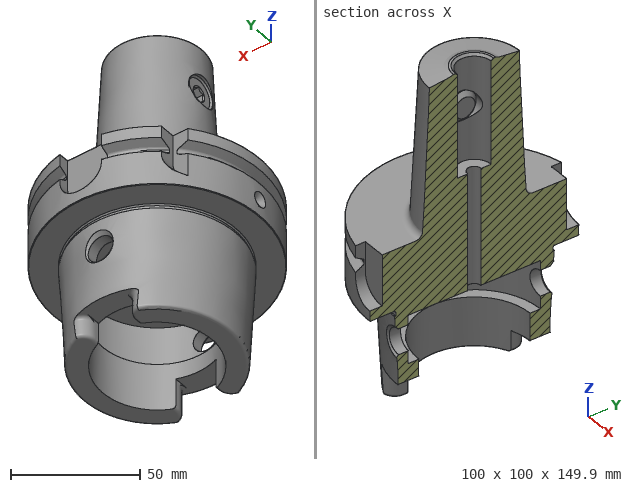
import cadquery as cq
import math


total_length = 149.9
nose_top = 100.0
shank_end = nose_top - total_length

flange_diameter = 100.0
flange_radius = flange_diameter / 2
flange_top = 29.1
flange_edge_chamfer = 0.3
groove_floor_radius = 46.0
groove_mid = 20.0
groove_mouth_half_width = 3.5
groove_wall_angle = 30.0
groove_corner_radius = 1.0

nose_base_radius = 24.9
nose_rim_radius = 21.6
nose_base = 31.8
nose_rim = 98.3
nose_fillet_span = 3.1
collar_foot_radius = 11.8
collar_foot = 99.4
collar_top_radius = 10.0

shank_neck_radius = 37.6
shank_neck_length = 2.2
shank_neck_chamfer = 0.6
shank_large_radius = 38.2
shank_small_radius = 35.8
shank_edge_radius = 1.5

tool_bore_radius = 8.0
tool_bore_depth = 49.5
tool_bore_chamfer = 1.0
coolant_radius = 3.1
shank_bore_radius = 26.5
shank_recess_radius = 31.5
shank_recess_bottom = -27.0
shank_bore_top = -4.5

key_floor = 44.0
key_bottom = 5.1
key_corner_radius = 10.0
wide_key_half_width = 11.0
corner_notch_edge = 31.5

dimple_radius = 3.6
dimple_height = 8.5
dimple_depth = 3.6
drill_point_angle = 118.0

cross_hole_radius = 6.0
cross_hole_height = -15.0
cross_hole_chamfer = 1.3

drive_half_width = 9.7
drive_flat_spacing = 65.2
drive_flat = drive_flat_spacing / 2
drive_top_front = -35.1
drive_top_back = -40.0
drive_lip_radius = 6.0
drive_root_radius = 1.6

screw_height = 76.7
screw_radius = 6.9
screw_mouth_radius = 7.6
screw_face = 20.2
screw_tip = 6.1
screw_tip_radius = 4.8
screw_tip_chamfer = 2.1
hex_across_flats = 6.0
hex_mouth_radius = 3.6
hex_depth = 3.7
hex_pilot_radius = 2.4

selection_margin = 0.1


def cylinder_along(origin, direction, radius, length):
    return cq.Workplane(obj=cq.Solid.makeCylinder(radius, length, origin, direction))


def cone_along(origin, direction, start_radius, end_radius, length):
    return cq.Workplane(obj=cq.Solid.makeCone(start_radius, end_radius, length, origin, direction))


def drill_tip_length(radius):
    return radius / math.tan(math.radians(drill_point_angle / 2))


def make_body():
    """Outer shape turned about Z."""
    groove_depth = flange_radius - groove_floor_radius
    floor_half_width = groove_mouth_half_width - groove_depth * math.tan(math.radians(groove_wall_angle))
    profile = (
        cq.Workplane("XZ")
        .moveTo(0, shank_end)
        .lineTo(shank_small_radius - shank_edge_radius, shank_end)
        .radiusArc((shank_small_radius, shank_end + shank_edge_radius), -shank_edge_radius)
        .lineTo(shank_large_radius, -shank_neck_length)
        .lineTo(shank_neck_radius, -shank_neck_length)
        .lineTo(shank_neck_radius, -shank_neck_chamfer)
        .lineTo(shank_neck_radius + shank_neck_chamfer, 0)
        .lineTo(flange_radius - flange_edge_chamfer, 0)
        .lineTo(flange_radius, flange_edge_chamfer)
        .lineTo(flange_radius, groove_mid - groove_mouth_half_width)
        .lineTo(groove_floor_radius, groove_mid - floor_half_width)
        .lineTo(groove_floor_radius, groove_mid + floor_half_width)
        .lineTo(flange_radius, groove_mid + groove_mouth_half_width)
        .lineTo(flange_radius, flange_top)
        .lineTo(nose_base_radius + nose_fillet_span, flange_top)
        .tangentArcPoint((nose_base_radius, nose_base), relative=False)
        .lineTo(nose_rim_radius, nose_rim)
        .lineTo(collar_foot_radius, collar_foot)
        .lineTo(collar_top_radius, nose_top)
        .lineTo(0, nose_top)
        .close()
    )
    body = profile.revolve(360, (0, 0, 0), (0, 1, 0))
    groove_edges = cq.selectors.BoxSelector(
        (-flange_radius, -flange_radius, groove_mid - floor_half_width - selection_margin),
        (flange_radius, flange_radius, groove_mid + floor_half_width + selection_margin),
    )
    return body.edges(groove_edges).fillet(groove_corner_radius)


def make_bores():
    """Tool bore from the nose, coolant passage and hollow of the shank with its wider upper part."""
    up = (0, 0, 1)
    down = (0, 0, -1)
    nose_center = (0, 0, nose_top)
    end_center = (0, 0, shank_end)
    recess_center = (0, 0, shank_recess_bottom)
    mouth_radius = tool_bore_radius + tool_bore_chamfer
    tool_bore = cylinder_along(nose_center, down, tool_bore_radius, tool_bore_depth)
    bore_mouth = cone_along(nose_center, down, mouth_radius, tool_bore_radius, tool_bore_chamfer)
    coolant = cylinder_along(end_center, up, coolant_radius, total_length)
    hollow = cylinder_along(end_center, up, shank_bore_radius, shank_bore_top - shank_end)
    recess = cylinder_along(recess_center, up, shank_recess_radius, shank_bore_top - shank_recess_bottom)
    return tool_bore.union(bore_mouth).union(coolant).union(hollow).union(recess)


def make_key_slot(center_x, half_width, start_y, direction):
    """Slot with a rounded bottom, open at the flange top and milled from start_y out along +Y or -Y."""
    flat_half_width = half_width - key_corner_radius
    shoulder = key_bottom + key_corner_radius
    slot = (
        cq.Workplane("XY", origin=(0, 0, shoulder))
        .rect(2 * half_width, flange_diameter)
        .extrude(flange_top - shoulder)
    )
    for side in (-1, 1):
        corner_axis = (side * flat_half_width, -flange_radius, shoulder)
        slot = slot.union(cylinder_along(corner_axis, (0, 1, 0), key_corner_radius, flange_diameter))
    if flat_half_width > 0:
        slot = slot.union(
            cq.Workplane("XY", origin=(0, 0, key_bottom))
            .rect(2 * flat_half_width, flange_diameter)
            .extrude(key_corner_radius)
        )
    return slot.translate((center_x, start_y + direction * flange_radius, 0))


def make_dimple():
    """Conical recess in the -X side of the flange."""
    mouth = (-flange_radius, 0, dimple_height)
    return cone_along(mouth, (1, 0, 0), dimple_radius, 0, dimple_depth)


def make_cross_hole():
    """Hole along Y through both walls of the shank, with a chamfered mouth on each side."""
    cone_slope = (shank_large_radius - shank_small_radius) / (-shank_neck_length - shank_end)
    surface_radius = shank_small_radius + cone_slope * (cross_hole_height - shank_end)
    mouth_start = surface_radius - cross_hole_chamfer
    mouth_length = 2 * cross_hole_chamfer
    mouth_end = mouth_start + mouth_length
    return (
        cq.Workplane("XY", origin=(0, 0, cross_hole_height))
        .moveTo(0, -mouth_end)
        .lineTo(cross_hole_radius + mouth_length, -mouth_end)
        .lineTo(cross_hole_radius, -mouth_start)
        .lineTo(cross_hole_radius, mouth_start)
        .lineTo(cross_hole_radius + mouth_length, mouth_end)
        .lineTo(0, mouth_end)
        .close()
        .revolve(360, (0, 0, 0), (0, 1, 0))
    )


lip_wall_end = (drive_half_width, drive_flat - drive_lip_radius)
lip_flat_start = (drive_half_width + drive_lip_radius, drive_flat)
lip_arc_offset = drive_lip_radius * (1 - math.sqrt(0.5))
lip_arc_mid = (drive_half_width + lip_arc_offset, drive_flat - lip_arc_offset)


def mirrored(point):
    return (-point[0], point[1])


def make_drive_flats(height):
    """Space outside the flats and rounded lips, with a rounded root at its top."""
    top = shank_end + height
    flats = (
        cq.Workplane("XY", origin=(0, 0, shank_end))
        .moveTo(*mirrored(lip_wall_end))
        .threePointArc(mirrored(lip_arc_mid), mirrored(lip_flat_start))
        .lineTo(-flange_radius, drive_flat)
        .lineTo(-flange_radius, flange_radius)
        .lineTo(flange_radius, flange_radius)
        .lineTo(flange_radius, drive_flat)
        .lineTo(*lip_flat_start)
        .threePointArc(lip_arc_mid, lip_wall_end)
        .close()
        .extrude(height)
    )
    root_edges = cq.selectors.BoxSelector(
        (-flange_radius, lip_wall_end[1] + selection_margin, top - selection_margin),
        (flange_radius, drive_flat + selection_margin, top + selection_margin),
    )
    return flats.edges(root_edges).fillet(drive_root_radius)


def make_lip_rounding(height):
    """Space around the two lips at the shank end that rounds their lower edges."""
    lip = (
        cq.Workplane("XY", origin=(0, 0, shank_end))
        .moveTo(drive_half_width, 0)
        .lineTo(*lip_wall_end)
        .threePointArc(lip_arc_mid, lip_flat_start)
        .lineTo(flange_diameter, drive_flat)
        .lineTo(flange_diameter, 0)
        .close()
        .extrude(height)
    )
    lower_edge = cq.selectors.NearestToPointSelector((*lip_arc_mid, shank_end))
    lip = lip.edges(lower_edge).fillet(shank_edge_radius)
    slab = (
        cq.Workplane("XY", origin=(0, flange_radius / 2, shank_end))
        .rect(flange_diameter, flange_radius)
        .extrude(shank_edge_radius)
    )
    return slab.cut(lip).cut(lip.mirror("YZ"))


def make_drive_cut(top):
    """Drive slot on the +Y side of the shank end: an open slot between flats with rounded lips."""
    height = top - shank_end
    slot = (
        cq.Workplane("XY", origin=(0, flange_radius / 2, shank_end))
        .rect(2 * drive_half_width, flange_radius)
        .extrude(height)
    )
    return make_drive_flats(height).union(slot).union(make_lip_rounding(height))


def make_screw_hole():
    """Clamping screw hole from the -X side into the tool bore, with a wider mouth above the screw."""
    seat_cone = screw_mouth_radius - screw_radius
    face = (-screw_face, 0, screw_height)
    mouth_floor = (-screw_face - seat_cone, 0, screw_height)
    hole = cylinder_along((0, 0, screw_height), (-1, 0, 0), screw_radius, screw_face)
    seat = cone_along(face, (-1, 0, 0), screw_radius, screw_mouth_radius, seat_cone)
    mouth = cylinder_along(mouth_floor, (-1, 0, 0), screw_mouth_radius, nose_base_radius)
    return hole.union(seat).union(mouth)


def make_screw():
    """Clamping screw with a tapered tip and a hexagon socket."""
    shaft_length = screw_face - screw_tip - screw_tip_chamfer
    face = (-screw_face, 0, screw_height)
    shaft = cylinder_along(face, (1, 0, 0), screw_radius, shaft_length)
    shaft_end = (-screw_tip - screw_tip_chamfer, 0, screw_height)
    tip = cone_along(shaft_end, (1, 0, 0), screw_radius, screw_tip_radius, screw_tip_chamfer)
    hex_corner_diameter = hex_across_flats / math.cos(math.radians(30))
    socket_plane = cq.Plane(origin=face, xDir=(0, 0, 1), normal=(1, 0, 0))
    socket = cq.Workplane(socket_plane).polygon(6, hex_corner_diameter).extrude(hex_depth)
    socket_mouth = cone_along(face, (1, 0, 0), hex_mouth_radius, 0, hex_mouth_radius)
    socket_floor = (-screw_face + hex_depth, 0, screw_height)
    pilot_length = drill_tip_length(hex_pilot_radius)
    socket_end = cone_along(socket_floor, (1, 0, 0), hex_pilot_radius, 0, pilot_length)
    return shaft.union(tip).cut(socket).cut(socket_mouth).cut(socket_end)


result = make_body()

result = result.cut(make_key_slot(0, wide_key_half_width, -key_floor, -1))
result = result.cut(make_key_slot(0, key_corner_radius, key_floor, 1))
corner_notch_center = -corner_notch_edge - key_corner_radius
result = result.cut(make_key_slot(corner_notch_center, key_corner_radius, corner_notch_edge, 1))
result = result.cut(make_dimple())

result = result.cut(make_drive_cut(drive_top_back))
result = result.cut(make_drive_cut(drive_top_front).rotate((0, 0, 0), (0, 0, 1), 180))

result = result.cut(make_bores()).cut(make_cross_hole())
result = result.cut(make_screw_hole()).union(make_screw())